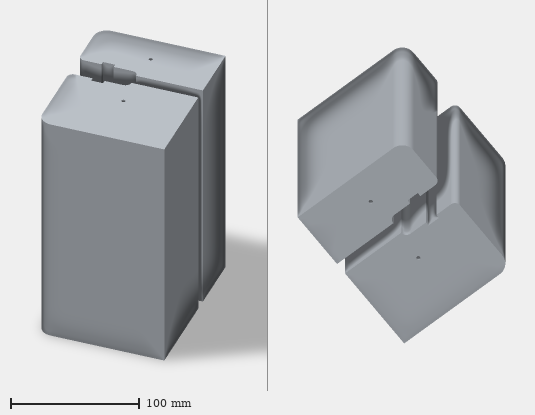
import cadquery as cq
import math

LENGTH = 106.0
HEIGHT = 202.0
GAP = 10.0
BACK_BLOCK_WIDTH = 49.9
FRONT_BLOCK_WIDTH = 75.0

OUTER_RADIUS = 11.3
INNER_RADIUS = 5.0

MOUTH_DEPTH = 5.0
MOUTH_END_X = 50.3

GROOVE_START_X = 19.5
GROOVE_WIDTH = 10.0
GROOVE_DEPTH = 3.2

HOLE_DIAMETER = 3.2
HOLE_X = LENGTH / 2
HOLE_INSET = 25.0

INNER_Y = GAP / 2
MOUTH_Y = INNER_Y + MOUTH_DEPTH


def make_block(width):
    """Block on the +Y side of the gap, with the gap's mid-plane at Y = 0."""
    outer_y = INNER_Y + width
    groove_end_x = GROOVE_START_X + GROOVE_WIDTH
    groove_y = MOUTH_Y + GROOVE_DEPTH
    fillet_start_x = MOUTH_END_X - MOUTH_DEPTH
    fillet_offset = MOUTH_DEPTH * math.sqrt(0.5)
    fillet_middle = (fillet_start_x + fillet_offset, INNER_Y + fillet_offset)
    block = (
        cq.Workplane("XY")
        .moveTo(0, outer_y)
        .lineTo(0, MOUTH_Y)
        .lineTo(GROOVE_START_X, MOUTH_Y)
        .lineTo(GROOVE_START_X, groove_y)
        .lineTo(groove_end_x, groove_y)
        .lineTo(groove_end_x, MOUTH_Y)
        .lineTo(fillet_start_x, MOUTH_Y)
        .threePointArc(fillet_middle, (MOUTH_END_X, INNER_Y))
        .lineTo(LENGTH, INNER_Y)
        .lineTo(LENGTH, outer_y)
        .close()
        .extrude(HEIGHT)
    )
    block = block.faces("<X").edges("|Z").edges(">Y").fillet(OUTER_RADIUS)
    block = block.faces("<X").edges("|Z").edges("<Y").fillet(INNER_RADIUS)
    hole = (
        cq.Workplane("XY")
        .center(HOLE_X, INNER_Y + HOLE_INSET)
        .circle(HOLE_DIAMETER / 2)
        .extrude(HEIGHT)
    )
    return block.cut(hole)


back_block = make_block(BACK_BLOCK_WIDTH)
front_block = make_block(FRONT_BLOCK_WIDTH).mirror("XZ")

result = cq.Compound.makeCompound([back_block.val(), front_block.val()])